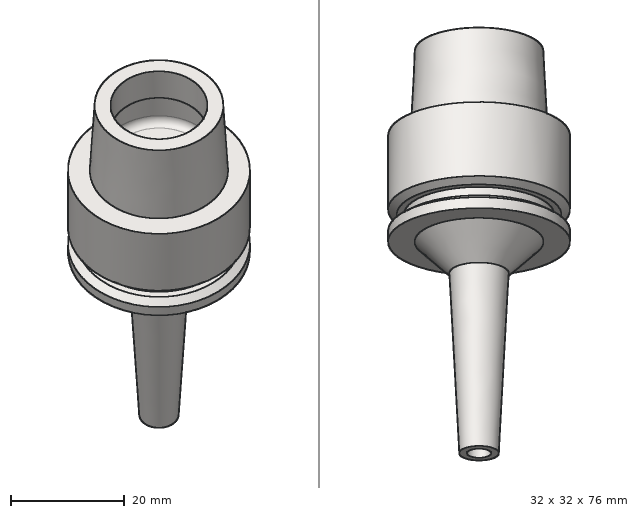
import cadquery as cq
import math

total_height = 76.0
seat_z = 60.05
flange_bottom_z = 40.0
neck_z = 34.0

flange_radius = 32.0 / 2
shank_top_radius = 11.3
shank_base_radius = 12.15
cone_top_radius = 11.3
neck_radius = 5.25
nose_tip_radius = 3.5

groove_radius = 13.2
groove_bottom_z = 43.0
groove_top_z = 45.1
groove_chamfer_height = 1.0
groove_chamfer_width = 1.5

mouth_radius = 8.5
mouth_depth = 6.5
undercut_radius = 10.25
undercut_depth = 14.1
undercut_fillet = 1.5
socket_radius = 4.95
socket_depth = 22.8
through_radius = 2.1


def make_body():
    """Revolve the outside profile: nose, cone, flange and tapered shank."""
    groove_lip_radius = flange_radius - groove_chamfer_width
    profile = [
        (0, 0),
        (nose_tip_radius, 0),
        (neck_radius, neck_z),
        (cone_top_radius, flange_bottom_z),
        (flange_radius, flange_bottom_z),
        (flange_radius, groove_bottom_z - groove_chamfer_height),
        (groove_lip_radius, groove_bottom_z),
        (groove_radius, groove_bottom_z),
        (groove_radius, groove_top_z),
        (groove_lip_radius, groove_top_z),
        (flange_radius, groove_top_z + groove_chamfer_height),
        (flange_radius, seat_z),
        (shank_base_radius, seat_z),
        (shank_top_radius, total_height),
        (0, total_height),
    ]
    return cq.Workplane("XZ").polyline(profile).close().revolve(360, (0, 0), (0, 1))


def make_bore():
    """Revolve the cavity: mouth, wider undercut, socket and through hole."""
    mouth_z = total_height - mouth_depth
    undercut_z = total_height - undercut_depth
    socket_z = total_height - socket_depth
    fillet_z = undercut_z + undercut_fillet
    fillet_center_radius = undercut_radius - undercut_fillet
    fillet_reach = undercut_fillet * math.cos(math.radians(45))
    return (
        cq.Workplane("XZ")
        .lineTo(through_radius, 0)
        .lineTo(through_radius, socket_z)
        .lineTo(socket_radius, socket_z)
        .lineTo(socket_radius, undercut_z)
        .lineTo(fillet_center_radius, undercut_z)
        .threePointArc(
            (fillet_center_radius + fillet_reach, fillet_z - fillet_reach),
            (undercut_radius, fillet_z),
        )
        .lineTo(undercut_radius, mouth_z)
        .lineTo(mouth_radius, mouth_z)
        .lineTo(mouth_radius, total_height)
        .lineTo(0, total_height)
        .close()
        .revolve(360, (0, 0), (0, 1))
    )


result = make_body().cut(make_bore())